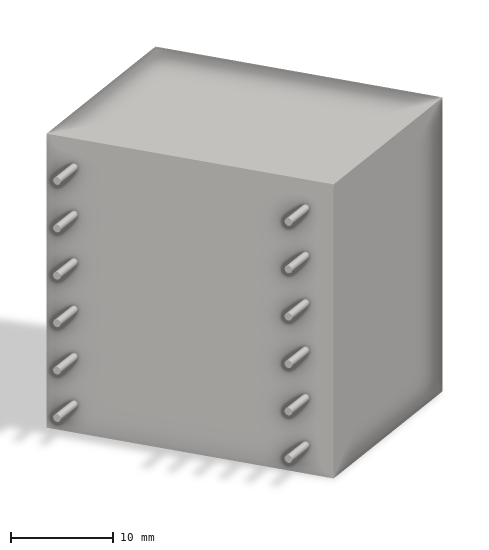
import cadquery as cq

housing_side = 31.0
housing_depth = 25.0
half_side = housing_side / 2

pin_diameter = 0.8
pin_length = 4.0
pins_per_column = 6
pin_column_x = 12.5
pin_pitch = 2 * pin_column_x / (pins_per_column - 1)

clip_x = 8.75
clip_length = 3.4
clip_edge_gap = 1.18
clip_web_width = 0.22
clip_arm_span = 0.7
clip_arm_width = 0.1
clip_arm_spacing = 2.75
clip_depth = 0.62
clip_z = half_side - clip_edge_gap - clip_length / 2


def make_pin(x, z):
    """One pin, running from the pin face toward -Y."""
    return cq.Workplane("XZ", origin=(x, 0, z)).circle(pin_diameter / 2).extrude(pin_length)


def make_clip(x, z):
    """One flat clip: an upright web crossed by a narrow arm near each end."""
    face = cq.Workplane("XZ", origin=(x, 0, z))
    web = face.rect(clip_web_width, clip_length).extrude(-clip_depth)
    arms = (
        face.pushPoints([(0, -clip_arm_spacing / 2), (0, clip_arm_spacing / 2)])
        .rect(clip_arm_span, clip_arm_width)
        .extrude(-clip_depth)
    )
    return web.union(arms)


clips = [make_clip(x, z) for x in (-clip_x, clip_x) for z in (-clip_z, clip_z)]

housing = cq.Workplane("XZ").rect(housing_side, housing_side).extrude(-housing_depth)
for x in (-pin_column_x, pin_column_x):
    for row in range(pins_per_column):
        z = (row - (pins_per_column - 1) / 2) * pin_pitch
        housing = housing.union(make_pin(x, z))
for clip in clips:
    housing = housing.cut(clip)

result = cq.Compound.makeCompound([housing.val(), *[clip.val() for clip in clips]])